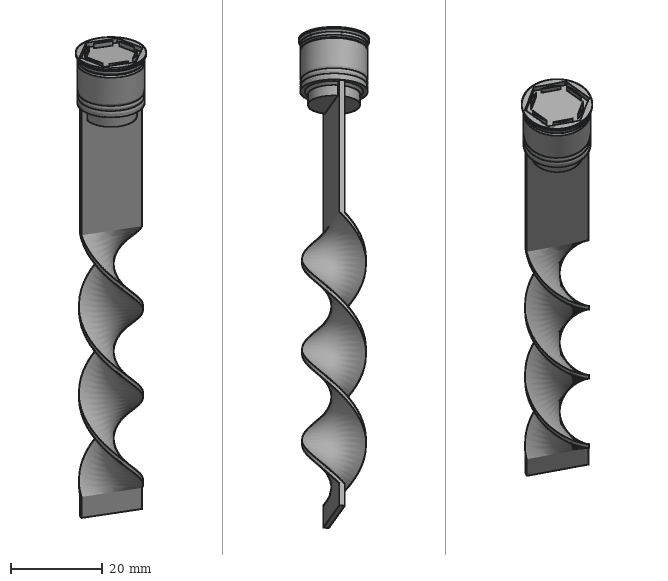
import cadquery as cq
import math

TOTAL_HEIGHT = 112.5

LIP_RADIUS = 7.8
LIP_HEIGHT = 0.5
LIP_TAPER_HEIGHT = 0.6
HOUSING_RADIUS = 7.4
HOUSING_BOTTOM = 100.2

NECK_GROOVE_CENTER = 110.4
GRIP_GROOVE_CENTERS = (102.9, 101.7)
NECK_GROOVE_WIDTH = 0.8
GRIP_GROOVE_WIDTH = 1.1
NECK_GROOVE_DEPTH = 0.3
GRIP_GROOVE_DEPTH = 0.17

SOCKET_APOTHEM = 6.3
SOCKET_DEPTH = 1.1
SEGMENT_APOTHEM = 5.3
SEGMENT_RADIUS = 5.7
SEGMENT_HEIGHT = SOCKET_DEPTH
HEX_SIDES = 6

PLUG_RADIUS = 5.7
PLUG_BOTTOM = 97.1
PLUG_TOP = 102.5
PLUG_FLARE_RADIUS = 6.4
PLUG_FLARE_HEIGHT = 0.7

BLADE_THICKNESS = 1.2
BLADE_WIDTH = 14.1
BLADE_TOP = HOUSING_BOTTOM
TWIST_BOTTOM = 5.2
TWIST_TOP = 69.2
TWIST_ANGLE = -540.0


def hexagon_prism(apothem, bottom, height):
    """Hexagonal prism with two flats facing +X and -X."""
    diameter = 2 * apothem / math.cos(math.pi / HEX_SIDES)
    return (
        cq.Workplane("XY", origin=(0, 0, bottom))
        .transformed(rotate=(0, 0, 180 / HEX_SIDES))
        .polygon(HEX_SIDES, diameter)
        .extrude(height)
    )


def v_groove(center, width, depth):
    """Ring with a V section that cuts a groove into the housing wall."""
    half_width = width / 2
    return (
        cq.Workplane("XZ")
        .moveTo(HOUSING_RADIUS, center - half_width)
        .lineTo(HOUSING_RADIUS - depth, center)
        .lineTo(HOUSING_RADIUS, center + half_width)
        .close()
        .revolve(360, (0, 0, 0), (0, 1, 0))
    )


def make_housing():
    lip_bottom = TOTAL_HEIGHT - LIP_HEIGHT
    housing = (
        cq.Workplane("XZ")
        .moveTo(0, HOUSING_BOTTOM)
        .lineTo(HOUSING_RADIUS, HOUSING_BOTTOM)
        .lineTo(HOUSING_RADIUS, lip_bottom - LIP_TAPER_HEIGHT)
        .lineTo(LIP_RADIUS, lip_bottom)
        .lineTo(LIP_RADIUS, TOTAL_HEIGHT)
        .lineTo(0, TOTAL_HEIGHT)
        .close()
        .revolve(360, (0, 0, 0), (0, 1, 0))
    )
    housing = housing.cut(v_groove(NECK_GROOVE_CENTER, NECK_GROOVE_WIDTH, NECK_GROOVE_DEPTH))
    for center in GRIP_GROOVE_CENTERS:
        housing = housing.cut(v_groove(center, GRIP_GROOVE_WIDTH, GRIP_GROOVE_DEPTH))

    socket_floor = TOTAL_HEIGHT - SOCKET_DEPTH
    housing = housing.cut(hexagon_prism(SOCKET_APOTHEM, socket_floor, SOCKET_DEPTH))
    segments = (
        cq.Workplane("XY", origin=(0, 0, socket_floor))
        .circle(SEGMENT_RADIUS)
        .extrude(SEGMENT_HEIGHT)
        .cut(hexagon_prism(SEGMENT_APOTHEM, socket_floor, SEGMENT_HEIGHT))
    )
    housing = housing.union(segments)

    bore = (
        cq.Workplane("XY", origin=(0, 0, HOUSING_BOTTOM))
        .circle(PLUG_RADIUS)
        .extrude(PLUG_TOP - HOUSING_BOTTOM)
    )
    return housing.cut(bore)


def make_blade():
    section = cq.Workplane("XY").rect(BLADE_THICKNESS, BLADE_WIDTH)
    lower_flat = section.extrude(TWIST_BOTTOM)
    twisted = (
        cq.Workplane("XY", origin=(0, 0, TWIST_BOTTOM))
        .rect(BLADE_THICKNESS, BLADE_WIDTH)
        .twistExtrude(TWIST_TOP - TWIST_BOTTOM, TWIST_ANGLE)
    )
    upper_flat = (
        cq.Workplane("XY", origin=(0, 0, TWIST_TOP))
        .rect(BLADE_THICKNESS, BLADE_WIDTH)
        .extrude(BLADE_TOP - TWIST_TOP)
    )
    return lower_flat.union(twisted).union(upper_flat)


def make_plug():
    plug = (
        cq.Workplane("XZ")
        .moveTo(0, PLUG_BOTTOM)
        .lineTo(PLUG_RADIUS, PLUG_BOTTOM)
        .lineTo(PLUG_RADIUS, HOUSING_BOTTOM - PLUG_FLARE_HEIGHT)
        .lineTo(PLUG_FLARE_RADIUS, HOUSING_BOTTOM)
        .lineTo(PLUG_RADIUS, HOUSING_BOTTOM)
        .lineTo(PLUG_RADIUS, PLUG_TOP)
        .lineTo(0, PLUG_TOP)
        .close()
        .revolve(360, (0, 0, 0), (0, 1, 0))
    )
    slot = (
        cq.Workplane("XY", origin=(0, 0, PLUG_BOTTOM))
        .rect(BLADE_THICKNESS, BLADE_WIDTH)
        .extrude(BLADE_TOP - PLUG_BOTTOM)
    )
    return plug.cut(slot)


housing = make_housing()
plug = make_plug()
blade = make_blade()

result = cq.Compound.makeCompound([housing.val(), plug.val(), blade.val()])